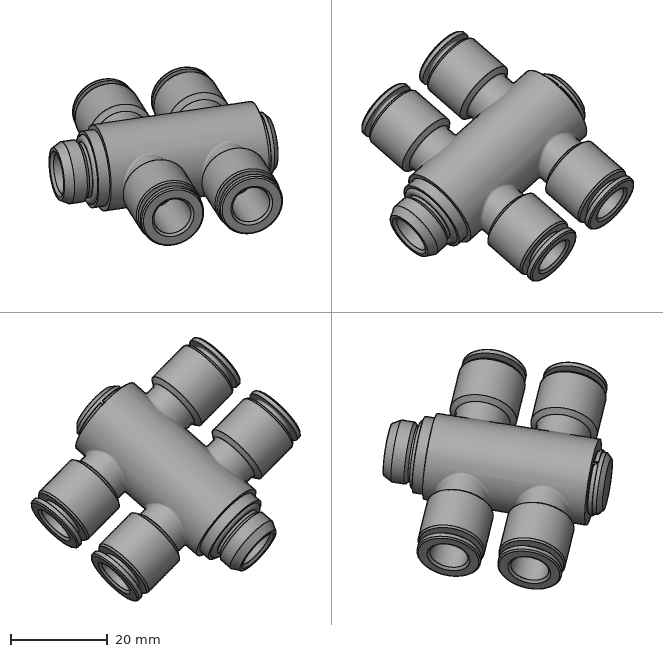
import cadquery as cq
import math

barrel_radius = 9.0
barrel_length = 34.1

collar_radius = 8.0
collar_end = 2.4
spigot_neck_radius = 5.8
spigot_radius = 6.5
spigot_cylinder_start = 4.4
spigot_cylinder_end = 7.15
spigot_tip_radius = 5.5
spigot_end = 9.0
spigot_flare_start = spigot_cylinder_start - (spigot_radius - spigot_neck_radius)

seal_outer_radius = 7.35
seal_section_radius = 0.9
seal_center = 2.3

cap_radius = 6.5
cap_length = 3.0
cap_chamfer = 1.05

clip_outer_radius = 6.9
clip_start = 0.1
clip_end = 1.1
clip_widest = 0.85
clip_inner_radius = 6.3
clip_rim_radius = 6.85
clip_gap = 0.6

bore_radius = 4.2
bore_mouth_radius = 4.8
bore_mouth_depth = 0.6
bore_cylinder_end = 28.5
drill_point_angle = 140.0
drill_point_length = bore_radius / math.tan(math.radians(drill_point_angle / 2))

port_spacing = 17.0
port_end = 24.7
stem_radius = 5.5
stem_blend = 0.5
stem_end = 11.55
stem_fillet = 0.3
sleeve_radius = 7.0
sleeve_cone_end = 12.4
sleeve_cone_radius = stem_radius + stem_fillet
sleeve_end = 22.15
sleeve_edge_length = 0.45
sleeve_edge_radius = 6.75
collet_neck_radius = 4.7
collet_flange_radius = 6.7
collet_flange_start = 23.5
collet_fillet = 0.25
collet_edge = 0.3

passage_radius = 3.25
socket_radius = 4.0
socket_mouth_radius = 4.5
socket_mouth_depth = 0.5
socket_floor = 12.0
socket_cone_angle = 118.0
socket_cone_length = (socket_radius - passage_radius) / math.tan(math.radians(socket_cone_angle / 2))

barrel_middle = barrel_length / 2
port_positions = [barrel_middle - port_spacing / 2, barrel_middle + port_spacing / 2]


def revolve_about_y(points):
    """Solid of revolution about Y from (radius, y) points."""
    return cq.Workplane("XY").polyline(points).close().revolve(360, (0, 0), (0, 1))


def revolve_about_x(profile, y):
    """Solid of revolution about X from a closed (x, radius) profile, moved to y."""
    return profile.close().revolve(360, (0, 0), (1, 0)).translate((0, y, 0))


def make_seal():
    """Sealing ring with its axis along Y."""
    ring_radius = seal_outer_radius - seal_section_radius
    section = cq.Workplane("XY").center(ring_radius, -seal_center).circle(seal_section_radius)
    return section.revolve(360, (-ring_radius, 0), (-ring_radius, 1))


def make_barrel_with_stems():
    """Barrel with the four side stems blended into it."""
    barrel = cq.Workplane("XZ").circle(barrel_radius).extrude(-barrel_length)
    for y in port_positions:
        stems = cq.Workplane("YZ").center(y, 0).circle(stem_radius).extrude(stem_end, both=True)
        barrel = barrel.union(stems)
    joints = cq.selectors.BoxSelector(
        (-barrel_radius, collar_end, -barrel_radius),
        (barrel_radius, barrel_length - cap_length, barrel_radius),
    )
    return barrel.edges(joints).edges("not %LINE").fillet(stem_blend)


def make_spigot():
    """Front collar, neck and lead-in nose."""
    return revolve_about_y([
        (0, 0),
        (collar_radius, 0),
        (collar_radius, -collar_end),
        (spigot_neck_radius, -collar_end),
        (spigot_neck_radius, -spigot_flare_start),
        (spigot_radius, -spigot_cylinder_start),
        (spigot_radius, -spigot_cylinder_end),
        (spigot_tip_radius, -spigot_end),
        (0, -spigot_end),
    ])


def make_cap():
    """Chamfered rear cap."""
    cap_end = barrel_length + cap_length
    return revolve_about_y([
        (0, barrel_length),
        (cap_radius, barrel_length),
        (cap_radius, cap_end - cap_chamfer),
        (cap_radius - cap_chamfer, cap_end),
        (0, cap_end),
    ])


def make_clip():
    """Retaining ring split on its +Z side, as a disc whose core merges with the cap."""
    front = barrel_length + clip_start
    back = barrel_length + clip_end
    ring = (
        cq.Workplane("XY")
        .moveTo(0, front)
        .lineTo(clip_inner_radius, front)
        .threePointArc((clip_outer_radius, barrel_length + clip_widest), (clip_rim_radius, back))
        .lineTo(0, back)
        .close()
        .revolve(360, (0, 0), (0, 1))
    )
    slot = (
        cq.Workplane("XY")
        .box(clip_gap, cap_length, 2 * clip_outer_radius, centered=(True, False, False))
        .translate((0, barrel_length, 0))
    )
    return ring.cut(slot)


def make_port_fitting(y):
    """Sleeve and release collet on the +X side."""
    profile = (
        cq.Workplane("XY")
        .moveTo(stem_end - stem_fillet, 0)
        .lineTo(stem_end - stem_fillet, stem_radius)
        .radiusArc((stem_end, sleeve_cone_radius), -stem_fillet)
        .lineTo(sleeve_cone_end, sleeve_radius)
        .lineTo(sleeve_end - sleeve_edge_length, sleeve_radius)
        .lineTo(sleeve_end, sleeve_edge_radius)
        .lineTo(sleeve_end, collet_neck_radius)
        .lineTo(collet_flange_start - collet_fillet, collet_neck_radius)
        .radiusArc((collet_flange_start, collet_neck_radius + collet_fillet), -collet_fillet)
        .lineTo(collet_flange_start, collet_flange_radius)
        .lineTo(port_end - collet_edge, collet_flange_radius)
        .lineTo(port_end, collet_flange_radius - collet_edge)
        .lineTo(port_end, 0)
    )
    return revolve_about_x(profile, y)


def make_port_passage(y):
    """Cutter for the passage from the barrel axis out through the +X port."""
    profile = cq.Workplane("XY").polyline([
        (0, 0),
        (0, passage_radius),
        (socket_floor, passage_radius),
        (socket_floor + socket_cone_length, socket_radius),
        (port_end - socket_mouth_depth, socket_radius),
        (port_end, socket_mouth_radius),
        (port_end, 0),
    ])
    return revolve_about_x(profile, y)


def make_central_bore():
    """Cutter for the blind bore from the spigot tip."""
    return revolve_about_y([
        (0, -spigot_end),
        (bore_mouth_radius, -spigot_end),
        (bore_radius, -spigot_end + bore_mouth_depth),
        (bore_radius, bore_cylinder_end),
        (0, bore_cylinder_end + drill_point_length),
    ])


def on_both_sides(solid):
    """The solid together with its mirror image across the YZ plane."""
    return solid.union(solid.mirror("YZ"))


result = (
    make_barrel_with_stems()
    .union(make_spigot())
    .union(make_seal())
    .union(make_cap())
    .union(make_clip())
)
for port_y in port_positions:
    result = result.union(on_both_sides(make_port_fitting(port_y)))
for port_y in port_positions:
    result = result.cut(on_both_sides(make_port_passage(port_y)))
result = result.cut(make_central_bore())